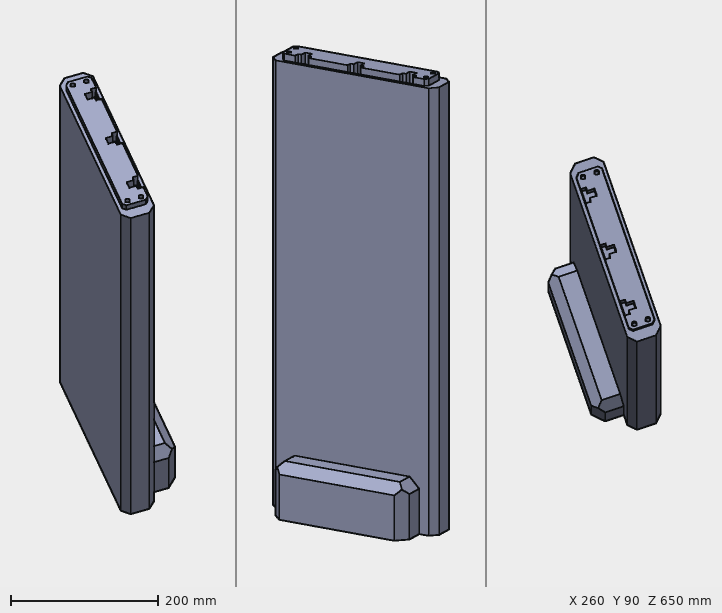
import cadquery as cq

TOTAL_HEIGHT = 650.0
BODY_WIDTH = 260.0
TOTAL_DEPTH = 90.0

BODY_DEPTH = 48.0
BODY_CHAMFER = 10.5

CAP_HEIGHT = 10.0
CAP_WIDTH = 229.0
CAP_DEPTH = 37.0
CAP_CHAMFER = 4.5

FOOT_WIDTH = 210.0
FOOT_HEIGHT = 80.0
FOOT_CHAMFER = 15.0

POCKET_SPACING = 82.0
POCKET_HEAD_WIDTH = 21.0
POCKET_HEAD_LENGTH = 8.0
POCKET_STEM_WIDTH = 10.5
POCKET_LENGTH = 18.0
POCKET_DEPTH = 19.5
SHELF_LENGTH = 1.0
SHELF_DEPTH = 11.0

HOLE_DIAMETER = 6.5
HOLE_DEPTH = 10.0
HOLE_TIP_LENGTH = 2.0
HOLE_SPACING_X = 214.5
HOLE_SPACING_Y = 19.5

BODY_HEIGHT = TOTAL_HEIGHT - CAP_HEIGHT
FOOT_DEPTH = TOTAL_DEPTH - BODY_DEPTH
BODY_CENTER_Y = BODY_DEPTH / 2
CAP_BACK_Y = BODY_CENTER_Y + CAP_DEPTH / 2


def chamfered_slab(width, depth, height, chamfer, base_z):
    """Upright slab centred on the body, with its vertical edges chamfered."""
    return (
        cq.Workplane("XY", origin=(0, BODY_CENTER_Y, base_z))
        .rect(width, depth)
        .extrude(height)
        .edges("|Z")
        .chamfer(chamfer)
    )


def foot_block():
    """Block behind the slab, chamfered around its back face and along the sides of its top."""
    block = (
        cq.Workplane("XY")
        .box(FOOT_WIDTH, FOOT_DEPTH, FOOT_HEIGHT, centered=(True, False, False))
        .translate((0, BODY_DEPTH, 0))
    )
    block = block.faces(">Y").edges("|Z or >Z").chamfer(FOOT_CHAMFER)
    return block.faces(">Z").edges("|Y").chamfer(FOOT_CHAMFER)


def top_cutter(center_x, width, front_offset, back_offset, depth):
    """Box sunk from the top, placed by its distances in front of the cap's back edge."""
    center_y = CAP_BACK_Y - (front_offset + back_offset) / 2
    return (
        cq.Workplane("XY", origin=(center_x, center_y, TOTAL_HEIGHT))
        .rect(width, front_offset - back_offset)
        .extrude(-depth)
    )


def pocket_cutter(center_x):
    """T-shaped cutter, shallower over the shelf where its head opens through the cap's back edge."""
    shelf = top_cutter(center_x, POCKET_HEAD_WIDTH, SHELF_LENGTH, 0, SHELF_DEPTH)
    head = top_cutter(center_x, POCKET_HEAD_WIDTH, POCKET_HEAD_LENGTH, SHELF_LENGTH, POCKET_DEPTH)
    stem = top_cutter(center_x, POCKET_STEM_WIDTH, POCKET_LENGTH, SHELF_LENGTH, POCKET_DEPTH)
    return shelf.union(head).union(stem)


def hole_cutter(center_x, center_y):
    """Round hole with a conical drill tip, revolved about its own vertical axis."""
    radius = HOLE_DIAMETER / 2
    return (
        cq.Workplane("XZ", origin=(center_x, center_y, TOTAL_HEIGHT))
        .polyline([(0, 0), (radius, 0), (radius, -HOLE_DEPTH), (0, -HOLE_DEPTH - HOLE_TIP_LENGTH)])
        .close()
        .revolve(360, (0, 0, 0), (0, 1, 0))
    )


body = chamfered_slab(BODY_WIDTH, BODY_DEPTH, BODY_HEIGHT, BODY_CHAMFER, 0)
cap = chamfered_slab(CAP_WIDTH, CAP_DEPTH, CAP_HEIGHT, CAP_CHAMFER, BODY_HEIGHT)
result = body.union(cap).union(foot_block())

for pocket_x in (-POCKET_SPACING, 0, POCKET_SPACING):
    result = result.cut(pocket_cutter(pocket_x))

for side_x in (-1, 1):
    for side_y in (-1, 1):
        hole_x = side_x * HOLE_SPACING_X / 2
        hole_y = BODY_CENTER_Y + side_y * HOLE_SPACING_Y / 2
        result = result.cut(hole_cutter(hole_x, hole_y))